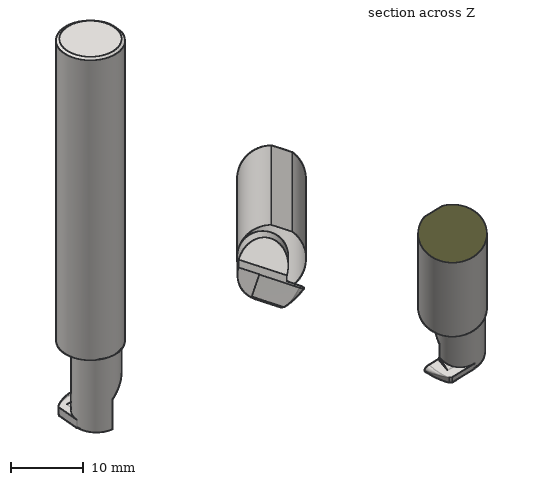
import cadquery as cq
import math


shank_diameter = 9.525
shank_length = 50.8
shank_radius = shank_diameter / 2
flat_offset = 4.51
chamfer_width = 0.48
chamfer_height = 0.26

neck_radius = 3.5
neck_length = 12.4
neck_x = shank_radius - neck_radius
relief_end = 7.4

head_top = -11.12
tip_depth = 12.67
side_clearance = 0.14
back_taper = 0.07
nose_x = -shank_radius
nose_radius = 0.77
nose_fade = 3.15
least_rounding = 0.02
flank_end_x = -2.94
flank_end_y = -3.3
bevel_width = 0.37
flank_sweep = math.radians(20)
flank_sections = 6
heel_overrun = 0.5
heel_x = neck_x + heel_overrun
heel_y = -neck_radius

ramp_x = -2.45
ramp_height = 0.32
ramp_length = 2.2


def make_shank():
    """Round shank with a chamfered end and a full-length flat on +Y."""
    profile = (
        cq.Workplane("XZ")
        .lineTo(shank_radius, 0)
        .lineTo(shank_radius, shank_length - chamfer_height)
        .lineTo(shank_radius - chamfer_width, shank_length)
        .lineTo(0, shank_length)
        .close()
    )
    body = profile.revolve(360, (0, 0, 0), (0, 1, 0))
    beyond_flat = (
        cq.Workplane("XY")
        .box(shank_diameter, shank_radius, shank_length, centered=(True, False, False))
        .translate((0, flat_offset, 0))
    )
    return body.cut(beyond_flat)


def make_neck():
    """Offset round neck, cut back to its centre plane below a 45 degree runout."""
    neck = cq.Workplane("XY").center(neck_x, 0).circle(neck_radius).extrude(-neck_length)
    relief = (
        cq.Workplane("YZ")
        .moveTo(0, -neck_length)
        .lineTo(0, -relief_end)
        .lineTo(neck_radius, neck_radius - relief_end)
        .lineTo(neck_radius, -neck_length)
        .close()
        .extrude(shank_diameter, both=True)
    )
    return neck.cut(relief)


def flank_x(y):
    """X of the curved flank at a given Y: an arc from the nose to the flank end."""
    run_x = flank_end_x - nose_x
    run_y = flank_end_y
    chord = math.hypot(run_x, run_y)
    radius = chord / (2 * math.sin(flank_sweep / 2))
    to_centre = radius * math.cos(flank_sweep / 2)
    centre_x = nose_x + run_x / 2 - to_centre * run_y / chord
    centre_y = run_y / 2 + to_centre * run_x / chord
    return centre_x - math.sqrt(radius**2 - (y - centre_y) ** 2)


def head_section(y):
    """Round-nosed outline of the head in the plane at a given Y."""
    left = flank_x(y)
    rounding = max(nose_radius * (1 + y / nose_fade), least_rounding)
    corner = rounding * (1 - math.sqrt(0.5))
    bottom = -tip_depth - side_clearance * y / neck_radius
    arc_x = left + rounding
    return (
        cq.Workplane("XZ", origin=(0, y, 0))
        .moveTo(heel_x, head_top)
        .lineTo(arc_x, head_top)
        .threePointArc((left + corner, head_top - corner), (left, head_top - rounding))
        .lineTo(left, bottom + rounding)
        .threePointArc((left + corner, bottom + corner), (arc_x, bottom))
        .lineTo(heel_x, bottom + back_taper)
        .close()
        .wires()
        .val()
    )


def make_head():
    """Nose with fading rounding, then a bevelled back running to the heel."""
    steps = [flank_end_y * i / (flank_sections - 1) for i in range(flank_sections)]
    nose = cq.Workplane(cq.Solid.makeLoft([head_section(y) for y in steps]))
    back_bottom = -tip_depth + side_clearance
    back = (
        cq.Workplane("XY", origin=(0, 0, back_bottom))
        .moveTo(flank_end_x, flank_end_y)
        .lineTo(flank_end_x + bevel_width, heel_y)
        .lineTo(neck_x, heel_y)
        .lineTo(neck_x, flank_end_y)
        .close()
        .extrude(head_top - back_bottom)
    )
    return nose.union(back)


def make_ramp():
    """Wedge rising from the head to the neck and fading away along -Y."""
    fading = (
        cq.Workplane("YZ", origin=(ramp_x, 0, 0))
        .moveTo(0, head_top)
        .lineTo(0, head_top + ramp_height)
        .lineTo(-ramp_length, head_top)
        .close()
        .extrude(neck_x - ramp_x)
    )
    rising = (
        cq.Workplane("XZ")
        .moveTo(ramp_x, head_top)
        .lineTo(neck_x - neck_radius, head_top + ramp_height)
        .lineTo(neck_x, head_top + ramp_height)
        .lineTo(neck_x, head_top)
        .close()
        .extrude(ramp_length)
    )
    return fading.intersect(rising)


result = make_shank().union(make_neck()).union(make_head()).union(make_ramp())